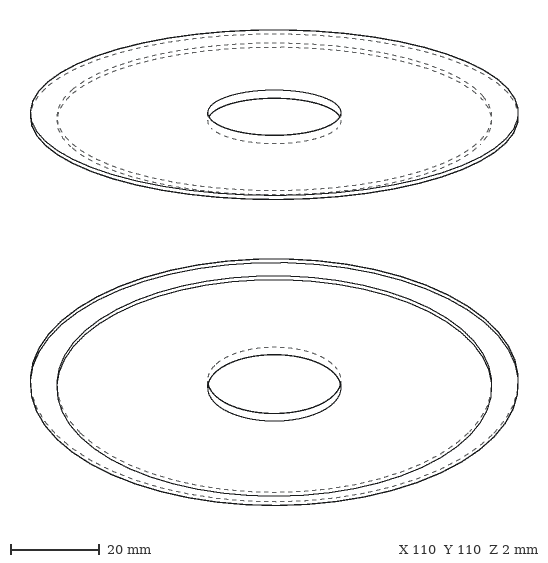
import cadquery as cq

flange_diameter = 110.0
step_diameter = 98.0
bore_diameter = 30.0
layer_thickness = 1.0
total_thickness = 2 * layer_thickness

step = cq.Workplane("XY").circle(step_diameter / 2).extrude(layer_thickness)
flange = (
    cq.Workplane("XY")
    .workplane(offset=layer_thickness)
    .circle(flange_diameter / 2)
    .extrude(layer_thickness)
)

bore = cq.Workplane("XY").circle(bore_diameter / 2).extrude(total_thickness)

result = step.union(flange).cut(bore)